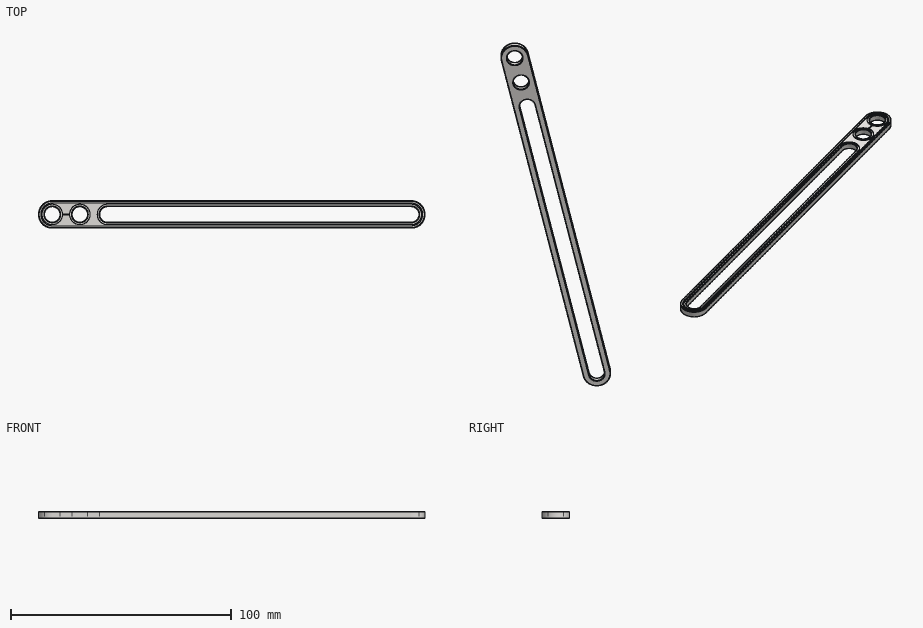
import cadquery as cq

length = 175.0
pitch_count = 14
pitch = length / pitch_count
width = pitch
thickness = 3.2

hole_diameter = 7.0
round_hole_count = 2
edge_chamfer = 0.3

collar_diameter = 9.3
rim_width = 1.1
rib_width = 0.3
recess_depth = 0.3

end_center = (length - width) / 2
hole_centers = [-end_center + i * pitch for i in range(round_hole_count)]
slot_start = -end_center + round_hole_count * pitch
slot_end = end_center
recess_floor = thickness - recess_depth


def rounded_bar(start, end, bar_width, bottom, top):
    """Bar along X with full-round ends centred at start and end."""
    return (
        cq.Workplane("XY", origin=((start + end) / 2, 0, bottom))
        .slot2D(end - start + bar_width, bar_width)
        .extrude(top - bottom)
    )


def disc(center, diameter, bottom, top):
    """Upright cylinder on the centre line of the bar."""
    return (
        cq.Workplane("XY", origin=(center, 0, bottom))
        .circle(diameter / 2)
        .extrude(top - bottom)
    )


def cut_along_openings(body, opening_width, bottom, top):
    """Remove a cylinder at every round hole and a rounded bar along the slot."""
    for center in hole_centers:
        body = body.cut(disc(center, opening_width, bottom, top))
    return body.cut(rounded_bar(slot_start, slot_end, opening_width, bottom, top))


def chamfered_bar():
    """Bar with its through openings; all top and bottom edges are chamfered."""
    bar = rounded_bar(-end_center, end_center, width, 0, thickness)
    bar = cut_along_openings(bar, hole_diameter, 0, thickness)
    return bar.faces("<Z or >Z").edges().chamfer(edge_chamfer)


def rib():
    """Thin full-height rib on the centre line, joining the collars of the round holes."""
    start, end = hole_centers[0], hole_centers[-1]
    return (
        cq.Workplane("XY", origin=((start + end) / 2, 0, recess_floor))
        .rect(end - start, rib_width)
        .extrude(recess_depth)
    )


def top_recess():
    """Space inside the outer rim, less the collars and the rib."""
    recess_width = width - 2 * rim_width
    recess = rounded_bar(-end_center, end_center, recess_width, recess_floor, thickness)
    recess = cut_along_openings(recess, collar_diameter, recess_floor, thickness)
    return recess.cut(rib())


result = chamfered_bar().cut(top_recess())